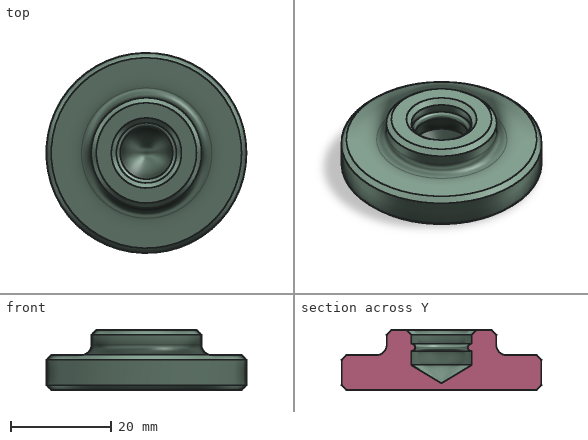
import cadquery as cq
import math

flange_radius = 20.0
flange_height = 7.0
boss_radius = 11.0
total_height = 12.0
chamfer = 1.0
boss_fillet = 2.0

bore_radius = 6.0
bore_depth = 7.0
drill_point_angle = 118.0
lip_radius = 0.75
lip_depth = bore_depth / 2


def make_body():
    """Revolve the flange and boss, with chamfered rims and a filleted root."""
    fillet_offset = boss_fillet * (1 - math.sqrt(0.5))
    profile = (
        cq.Workplane("XZ")
        .lineTo(flange_radius - chamfer, 0)
        .lineTo(flange_radius, chamfer)
        .lineTo(flange_radius, flange_height - chamfer)
        .lineTo(flange_radius - chamfer, flange_height)
        .lineTo(boss_radius + boss_fillet, flange_height)
        .threePointArc(
            (boss_radius + fillet_offset, flange_height + fillet_offset),
            (boss_radius, flange_height + boss_fillet),
        )
        .lineTo(boss_radius, total_height - chamfer)
        .lineTo(boss_radius - chamfer, total_height)
        .lineTo(0, total_height)
        .close()
    )
    return profile.revolve(360, (0, 0, 0), (0, 1, 0))


def make_bore():
    """Revolve the space inside the bore, leaving out the rounded lip."""
    bore_floor = total_height - bore_depth
    point_height = bore_radius / math.tan(math.radians(drill_point_angle / 2))
    lip_z = total_height - lip_depth
    profile = (
        cq.Workplane("XZ")
        .moveTo(0, bore_floor - point_height)
        .lineTo(bore_radius, bore_floor)
        .lineTo(bore_radius, lip_z - lip_radius)
        .threePointArc((bore_radius - lip_radius, lip_z), (bore_radius, lip_z + lip_radius))
        .lineTo(bore_radius, total_height - chamfer)
        .lineTo(bore_radius + chamfer, total_height)
        .lineTo(0, total_height)
        .close()
    )
    return profile.revolve(360, (0, 0, 0), (0, 1, 0))


result = make_body().cut(make_bore())